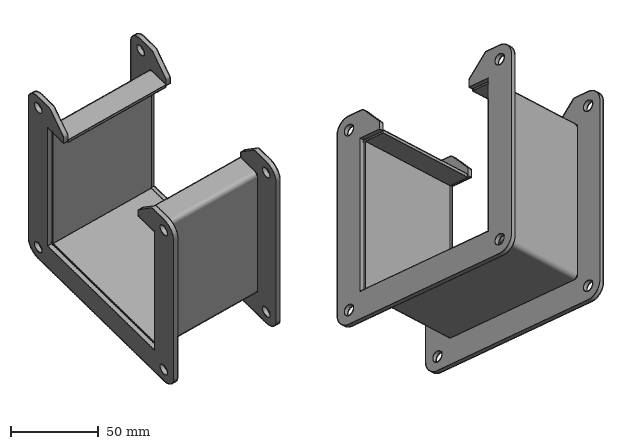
import cadquery as cq

FRAME_SIZE = 136.5
DEPTH = 76.2

PLATE_THICKNESS = 3.0
CORNER_RADIUS = 9.3
HOLE_DIAMETER = 7.1
WINDOW_MARGIN = 18.2
TIP_REACH = 33.3
SLOPE_START = 20.3
SLOPE_RADIUS = 2.5

CHANNEL_MARGIN = 17.3
WALL = 2.0
BEND_RADIUS = 3.0

half_frame = FRAME_SIZE / 2
half_window = half_frame - WINDOW_MARGIN
half_gap = half_frame - TIP_REACH
half_channel = half_frame - CHANNEL_MARGIN
slope_x = half_frame - SLOPE_START
slope_end_z = half_frame - (TIP_REACH - SLOPE_START)
channel_length = DEPTH - 2 * PLATE_THICKNESS


def block(half_width, length):
    """Square block centred on the origin, with its length along Y."""
    return cq.Workplane("XY").box(2 * half_width, length, 2 * half_width)


def top_gap(length):
    """Cutter that opens the top between the two arms."""
    return cq.Workplane("XY").box(2 * half_gap, length, FRAME_SIZE).translate((0, 0, half_frame))


def make_end_plate(center_y):
    """C-shaped flange with rounded corners, sloped arms and four screw holes."""
    plate = block(half_frame, PLATE_THICKNESS).edges("|Y").fillet(CORNER_RADIUS)

    notch = (
        cq.Workplane("XZ")
        .polyline([
            (-slope_x, half_frame),
            (-half_gap, slope_end_z),
            (-half_gap, 0),
            (half_gap, 0),
            (half_gap, slope_end_z),
            (slope_x, half_frame),
        ])
        .close()
        .extrude(PLATE_THICKNESS / 2, both=True)
    )
    plate = plate.cut(notch)
    for side in (-1, 1):
        for x, z in ((slope_x, half_frame), (half_gap, slope_end_z)):
            corner = cq.selectors.NearestToPointSelector((side * x, 0, z))
            plate = plate.edges("|Y").edges(corner).fillet(SLOPE_RADIUS)

    plate = plate.cut(block(half_window, PLATE_THICKNESS))

    hole_spacing = FRAME_SIZE - 2 * CORNER_RADIUS
    holes = (
        cq.Workplane("XZ")
        .rect(hole_spacing, hole_spacing, forConstruction=True)
        .vertices()
        .circle(HOLE_DIAMETER / 2)
        .extrude(PLATE_THICKNESS / 2, both=True)
    )
    return plate.cut(holes).translate((0, center_y, 0))


def make_channel():
    """C-shaped sheet channel that butts against the inner plate faces."""
    outside = block(half_channel, channel_length).edges("|Y").fillet(BEND_RADIUS)
    inside = block(half_channel - WALL, channel_length)
    return outside.cut(inside).cut(top_gap(channel_length))


channel = make_channel()
plate_offset = (DEPTH - PLATE_THICKNESS) / 2
end_plates = [make_end_plate(side * plate_offset) for side in (-1, 1)]

result = cq.Compound.makeCompound([channel.val(), *[plate.val() for plate in end_plates]])